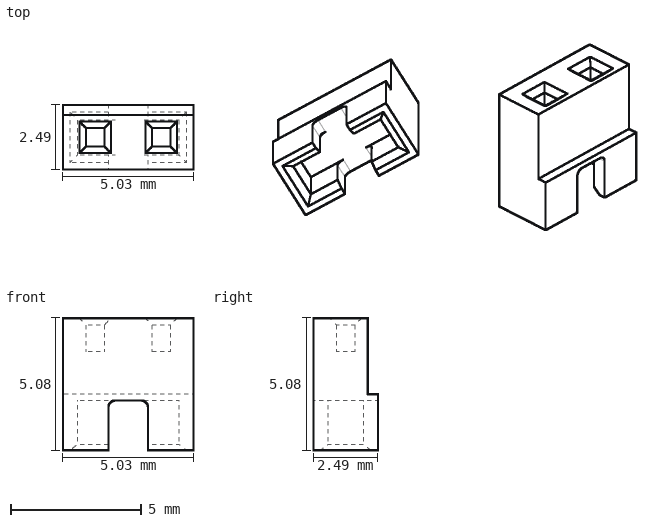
import cadquery as cq

width = 5.03
depth = 2.49
height = 5.08
ledge_depth = 0.39
ledge_height = 2.16

slot_width = 1.51
slot_height = 1.91
slot_corner_radius = 0.25

wall = 0.57
mouth_wall = 0.27
mouth_height = 0.235
cavity_height = slot_height

hole_pitch = 2.54
hole_count = 2
hole_size = 0.71
hole_mouth_size = 1.22
lead_in_depth = (hole_mouth_size - hole_size) / 2
hole_depth = 1.27

center_y = depth / 2


def rectangle_at(z, size_x, size_y):
    """Rectangle centred on the part's plan, at height z."""
    return cq.Workplane("XY", origin=(0, center_y, z)).rect(size_x, size_y)


def make_housing():
    """Stepped side profile extruded across the full width."""
    upper_depth = depth - ledge_depth
    profile = [
        (0, 0),
        (depth, 0),
        (depth, ledge_height),
        (upper_depth, ledge_height),
        (upper_depth, height),
        (0, height),
    ]
    return cq.Workplane("YZ", origin=(-width / 2, 0, 0)).polyline(profile).close().extrude(width)


def make_slot():
    """Slot with rounded top corners, cut from front to back."""
    slot = cq.Workplane("XY").box(slot_width, depth, slot_height, centered=(True, False, False))
    return slot.edges("|Y and >Z").fillet(slot_corner_radius)


def make_cavity():
    """Pocket inside the outer walls, widening towards the bottom opening."""
    inner_x = width - 2 * wall
    inner_y = depth - 2 * wall
    pocket = rectangle_at(0, inner_x, inner_y).extrude(cavity_height)
    mouth = (
        rectangle_at(0, width - 2 * mouth_wall, depth - 2 * mouth_wall)
        .workplane(offset=mouth_height)
        .rect(inner_x, inner_y)
        .loft()
    )
    return pocket.union(mouth)


def make_probe_hole():
    """Blind square hole from the top face with a pyramid-shaped lead-in."""
    shaft = rectangle_at(height - hole_depth, hole_size, hole_size).extrude(hole_depth)
    lead_in = (
        rectangle_at(height - lead_in_depth, hole_size, hole_size)
        .workplane(offset=lead_in_depth)
        .rect(hole_mouth_size, hole_mouth_size)
        .loft()
    )
    return shaft.union(lead_in)


result = make_housing().cut(make_slot()).cut(make_cavity())
probe_hole = make_probe_hole()
for index in range(hole_count):
    hole_x = (index - (hole_count - 1) / 2) * hole_pitch
    result = result.cut(probe_hole.translate((hole_x, 0, 0)))